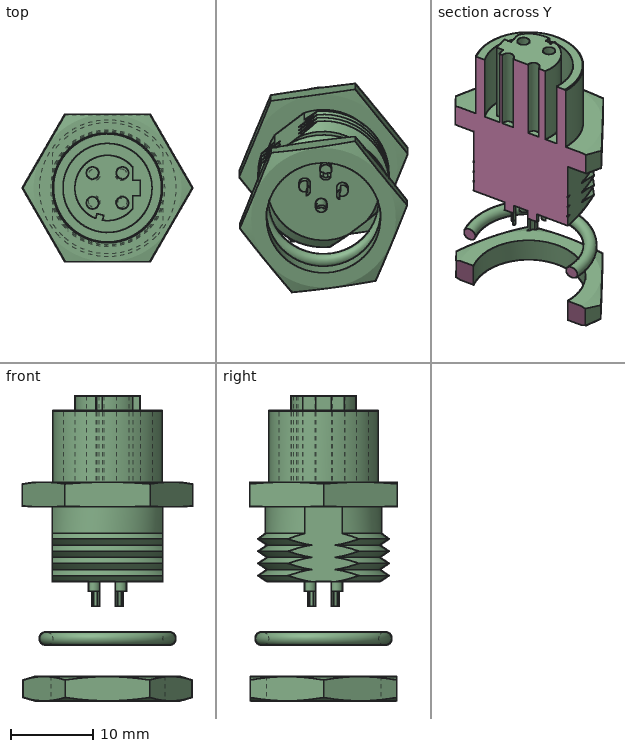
import cadquery as cq
import math

TOTAL_HEIGHT = 37.2
HEX_THICKNESS = 3.0

NUT_ACROSS_FLATS = 17.85
NUT_BORE_RADIUS = 6.95
NUT_FACE_RADIUS = 8.8
NUT_CHAMFER_DROP = 0.45

RING_TUBE_RADIUS = 0.8
RING_OUTER_RADIUS = 8.35
RING_CENTER_Z = 7.63

FLANGE_ACROSS_FLATS = 18.0
FLANGE_TOP_Z = 26.67
FLANGE_BOTTOM_Z = FLANGE_TOP_Z - HEX_THICKNESS
FLANGE_FACE_RADIUS = FLANGE_ACROSS_FLATS / 2
FLANGE_TOP_DROP = 0.22
FLANGE_BOTTOM_DROP = 0.1

SHELL_RADIUS = 6.7
SHELL_TOP_Z = 35.45
SHELL_CHAMFER = 0.1
SOCKET_RADIUS = 5.43
SOCKET_FLOOR_Z = FLANGE_TOP_Z

THREAD_CREST_RADIUS = 8.0
THREAD_ROOT_RADIUS = 6.9
THREAD_PITCH = 1.5
THREAD_TURNS = 4
THREAD_BOTTOM_Z = 14.55
NECK_RADIUS = 7.1
NECK_BOTTOM_Z = 20.42
SIDE_FLAT_X = 6.75

INSERT_RADIUS = 3.98
INSERT_FLAT_X = 3.05
TAB_HALF_WIDTH = 0.93
NOTCH_WIDTH = 0.85
NOTCH_FLOOR_RADIUS = 3.35
NOTCH_ANGLE = 15.0
CONTACT_HOLE_RADIUS = 0.75
CONTACT_HOLE_OFFSET = 1.82
CONTACT_HOLE_FLOOR_Z = SOCKET_FLOOR_Z

TAIL_OFFSET = 1.65
TAIL_RADIUS = 0.7
TAIL_SHOULDER_Z = 13.35
TAIL_BOTTOM_Z = 11.55
CUP_RADIUS = 0.4
CUP_FACE_OFFSET = 0.28


def cylinder(radius, bottom_z, top_z):
    return cq.Workplane("XY").workplane(offset=bottom_z).circle(radius).extrude(top_z - bottom_z)


def box(x_min, x_max, y_min, y_max, z_min, z_max):
    return cq.Workplane("XY").box(
        x_max - x_min, y_max - y_min, z_max - z_min, centered=False
    ).translate((x_min, y_min, z_min))


def chamfered_hexagon(across_flats, bottom_z, face_radius, bottom_drop, top_drop):
    """Hexagonal plate with corners on the X axis and conical corner chamfers on both faces."""
    corner_radius = across_flats / math.sqrt(3)
    top_z = bottom_z + HEX_THICKNESS
    plate = (
        cq.Workplane("XY")
        .workplane(offset=bottom_z)
        .polygon(6, 2 * corner_radius)
        .extrude(HEX_THICKNESS)
    )
    envelope = (
        cq.Workplane("XZ")
        .moveTo(0, bottom_z)
        .lineTo(face_radius, bottom_z)
        .lineTo(corner_radius, bottom_z + bottom_drop)
        .lineTo(corner_radius, top_z - top_drop)
        .lineTo(face_radius, top_z)
        .lineTo(0, top_z)
        .close()
        .revolve(360, (0, 0, 0), (0, 1, 0))
    )
    return plate.intersect(envelope)


def make_nut():
    nut = chamfered_hexagon(NUT_ACROSS_FLATS, 0, NUT_FACE_RADIUS, NUT_CHAMFER_DROP, NUT_CHAMFER_DROP)
    return nut.cut(cylinder(NUT_BORE_RADIUS, 0, HEX_THICKNESS))


def make_sealing_ring():
    tube_path_radius = RING_OUTER_RADIUS - RING_TUBE_RADIUS
    return (
        cq.Workplane("XZ")
        .moveTo(tube_path_radius, RING_CENTER_Z)
        .circle(RING_TUBE_RADIUS)
        .revolve(360, (0, 0, 0), (0, 1, 0))
    )


def make_shell():
    shell = cylinder(SHELL_RADIUS, FLANGE_TOP_Z, SHELL_TOP_Z).faces(">Z").chamfer(SHELL_CHAMFER)
    return shell.cut(cylinder(SOCKET_RADIUS, SOCKET_FLOOR_Z, SHELL_TOP_Z))


def make_threaded_neck():
    """Revolved neck with V-shaped thread ridges and two side flats."""
    profile = cq.Workplane("XZ").moveTo(0, THREAD_BOTTOM_Z).lineTo(THREAD_ROOT_RADIUS, THREAD_BOTTOM_Z)
    for turn in range(THREAD_TURNS):
        crest_z = THREAD_BOTTOM_Z + (turn + 0.5) * THREAD_PITCH
        profile = profile.lineTo(THREAD_CREST_RADIUS, crest_z)
        if turn < THREAD_TURNS - 1:
            profile = profile.lineTo(THREAD_ROOT_RADIUS, crest_z + THREAD_PITCH / 2)
    neck = (
        profile.lineTo(NECK_RADIUS, NECK_BOTTOM_Z)
        .lineTo(NECK_RADIUS, FLANGE_BOTTOM_Z)
        .lineTo(0, FLANGE_BOTTOM_Z)
        .close()
        .revolve(360, (0, 0, 0), (0, 1, 0))
    )
    between_flats = box(
        -SIDE_FLAT_X, SIDE_FLAT_X,
        -THREAD_CREST_RADIUS, THREAD_CREST_RADIUS,
        THREAD_BOTTOM_Z, FLANGE_BOTTOM_Z,
    )
    return neck.intersect(between_flats)


def make_insert():
    """Contact carrier with a flat and key tab on +X and a polarising notch near -Y."""
    insert = cylinder(INSERT_RADIUS, SOCKET_FLOOR_Z, TOTAL_HEIGHT)
    insert = insert.cut(
        box(INSERT_FLAT_X, INSERT_RADIUS, -INSERT_RADIUS, INSERT_RADIUS, SOCKET_FLOOR_Z, TOTAL_HEIGHT)
    )
    insert = insert.union(
        box(0, INSERT_RADIUS, -TAB_HALF_WIDTH, TAB_HALF_WIDTH, SOCKET_FLOOR_Z, TOTAL_HEIGHT)
    )
    notch = box(
        -NOTCH_WIDTH / 2, NOTCH_WIDTH / 2,
        -SOCKET_RADIUS, -NOTCH_FLOOR_RADIUS,
        SOCKET_FLOOR_Z, TOTAL_HEIGHT,
    ).rotate((0, 0, 0), (0, 0, 1), -NOTCH_ANGLE)
    insert = insert.cut(notch)
    holes = (
        cq.Workplane("XY")
        .workplane(offset=CONTACT_HOLE_FLOOR_Z)
        .rect(2 * CONTACT_HOLE_OFFSET, 2 * CONTACT_HOLE_OFFSET, forConstruction=True)
        .vertices()
        .circle(CONTACT_HOLE_RADIUS)
        .extrude(TOTAL_HEIGHT - CONTACT_HOLE_FLOOR_Z)
    )
    return insert.cut(holes)


def make_solder_tail(quadrant):
    """Round tail with a solder cup below its shoulder, open away from the housing axis."""
    tail = cylinder(TAIL_RADIUS, TAIL_BOTTOM_Z, THREAD_BOTTOM_Z)
    opening = box(
        -CUP_FACE_OFFSET, TAIL_RADIUS, -TAIL_RADIUS, TAIL_RADIUS, TAIL_BOTTOM_Z, TAIL_SHOULDER_Z
    )
    tail = tail.cut(opening).cut(cylinder(CUP_RADIUS, TAIL_BOTTOM_Z, TAIL_SHOULDER_Z))
    axis_distance = TAIL_OFFSET * math.sqrt(2)
    return tail.translate((axis_distance, 0, 0)).rotate((0, 0, 0), (0, 0, 1), 45 + 90 * quadrant)


def make_housing():
    housing = chamfered_hexagon(
        FLANGE_ACROSS_FLATS, FLANGE_BOTTOM_Z, FLANGE_FACE_RADIUS, FLANGE_BOTTOM_DROP, FLANGE_TOP_DROP
    )
    housing = housing.union(make_shell()).union(make_threaded_neck()).union(make_insert())
    for quadrant in range(4):
        housing = housing.union(make_solder_tail(quadrant))
    return housing


housing = make_housing()
sealing_ring = make_sealing_ring()
nut = make_nut()

result = cq.Compound.makeCompound([housing.solids().val(), sealing_ring.val(), nut.solids().val()])